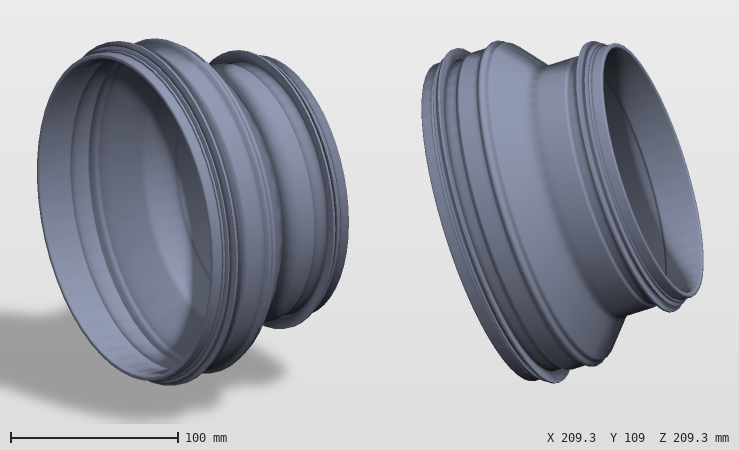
import cadquery as cq
import math


LENGTH = 109.0
SHEET = 0.5
HALF_SHEET = SHEET / 2
HEM_RISE = 2.4
HEM_BEND = 0.75
HEM_LENGTH = 6.2

WIDE_SEAT_RADIUS = 194.15 / 2
WIDE_BODY_RADIUS = 198.95 / 2
NARROW_SEAT_RADIUS = 154.2 / 2
NARROW_BODY_RADIUS = 157.2 / 2

WIDE_STEP_START = 21.8
NARROW_STEP_END = 86.0
STEP_BEND = 1.1

BEAD_CENTER = 39.15
BEAD_HALF_WIDTH = 2.85
BEAD_HEIGHT = 3.1
BEAD_BEND = 1.5

CONE_START = 44.2
CONE_END = 63.4
CONE_START_BEND = 2.0
CONE_END_BEND = 5.0

GASKET_CLEARANCE = 0.6
GASKET_BASE_HEIGHT = HEM_RISE - SHEET
GASKET_START = 1.9
RIDGE_HEIGHT = 3.1
RIDGE_START = 7.0
RIDGE_END = 8.2
SMALL_LIP_HEIGHT = 5.1
SMALL_LIP_ROOT = 8.7
SMALL_LIP_TIP_START = 9.4
SMALL_LIP_END = 10.1
LARGE_LIP_HEIGHT = 7.6
LARGE_LIP_ROOT = 12.4
LARGE_LIP_TIP_START = 13.3
LARGE_LIP_END = 14.5

SAME_POINT = 1e-6


def revolve_about_y(profile):
    """Turn a closed profile, drawn as (radius, Y), into a ring around the Y axis."""
    return profile.close().revolve(360, (0, 0, 0), (0, 1, 0))


def direction(start, end):
    length = math.hypot(end[0] - start[0], end[1] - start[1])
    return ((end[0] - start[0]) / length, (end[1] - start[1]) / length)


def sheet_side(corners, offset):
    """One face of the sheet as (bend start, bend middle, bend end) triples.

    Corners are (radius, Y, bend radius) at mid-sheet. The face lies `offset` to the left of
    that path. An end of the path gives a single point.
    """
    first = direction(corners[0], corners[1])
    last = direction(corners[-2], corners[-1])
    side = [[(corners[0][0] - offset * first[1], corners[0][1] + offset * first[0])]]
    for before, corner, after in zip(corners, corners[1:], corners[2:]):
        into = direction(before, corner)
        out = direction(corner, after)
        turn = math.atan2(into[0] * out[1] - into[1] * out[0], into[0] * out[0] + into[1] * out[1])
        left = math.copysign(1, turn)
        bend = corner[2]
        face_bend = bend - left * offset
        setback = bend * math.tan(abs(turn) / 2)
        center_x = corner[0] - setback * into[0] - left * bend * into[1]
        center_y = corner[1] - setback * into[1] + left * bend * into[0]
        start_angle = math.atan2(-left * into[0], left * into[1])
        angles = (start_angle, start_angle + turn / 2, start_angle + turn)
        side.append(
            [(center_x + face_bend * math.cos(a), center_y + face_bend * math.sin(a)) for a in angles]
        )
    side.append([(corners[-1][0] - offset * last[1], corners[-1][1] + offset * last[0])])
    return side


def draw_side(profile, side):
    """Append a face of the sheet to the profile: straight stretches joined by bend arcs."""
    here = None
    for points in side:
        if here is None or math.dist(here, points[0]) > SAME_POINT:
            profile = profile.lineTo(*points[0])
        if len(points) > 1:
            profile = profile.threePointArc(points[1], points[2])
        here = points[-1]
    return profile


def make_reducer():
    wide_seat = WIDE_SEAT_RADIUS - HALF_SHEET
    wide_body = WIDE_BODY_RADIUS - HALF_SHEET
    narrow_seat = NARROW_SEAT_RADIUS - HALF_SHEET
    narrow_body = NARROW_BODY_RADIUS - HALF_SHEET
    wide_end = HALF_SHEET
    narrow_end = LENGTH - HALF_SHEET
    wide_step = wide_body - wide_seat
    narrow_step = narrow_body - narrow_seat

    corners = [
        (wide_seat + HEM_RISE, HEM_LENGTH, 0),
        (wide_seat + HEM_RISE, wide_end, HEM_BEND),
        (wide_seat, wide_end, HEM_BEND),
        (wide_seat, WIDE_STEP_START, STEP_BEND),
        (wide_body, WIDE_STEP_START + wide_step, STEP_BEND),
        (wide_body, BEAD_CENTER - BEAD_HALF_WIDTH, BEAD_BEND),
        (wide_body + BEAD_HEIGHT, BEAD_CENTER, BEAD_BEND),
        (wide_body, BEAD_CENTER + BEAD_HALF_WIDTH, BEAD_BEND),
        (wide_body, CONE_START, CONE_START_BEND),
        (narrow_body, CONE_END, CONE_END_BEND),
        (narrow_body, NARROW_STEP_END - narrow_step, STEP_BEND),
        (narrow_seat, NARROW_STEP_END, STEP_BEND),
        (narrow_seat, narrow_end, HEM_BEND),
        (narrow_seat + HEM_RISE, narrow_end, HEM_BEND),
        (narrow_seat + HEM_RISE, LENGTH - HEM_LENGTH, 0),
    ]
    outer = sheet_side(corners, -HALF_SHEET)
    inner = sheet_side(corners, HALF_SHEET)
    back_along_inner = [points[::-1] for points in inner[::-1]]
    profile = cq.Workplane("XY").moveTo(*outer[0][0])
    profile = draw_side(profile, outer[1:])
    profile = draw_side(profile, back_along_inner)
    return revolve_about_y(profile)


def make_gasket(seat_radius, spigot_end, inward):
    """Gasket around a seat. `inward` is the sign of Y that leads from the spigot end to the cone."""
    section = [
        (GASKET_CLEARANCE, GASKET_START),
        (GASKET_BASE_HEIGHT, GASKET_START),
        (GASKET_BASE_HEIGHT, RIDGE_START),
        (RIDGE_HEIGHT, RIDGE_START),
        (RIDGE_HEIGHT, RIDGE_END),
        (GASKET_BASE_HEIGHT, RIDGE_END),
        (GASKET_BASE_HEIGHT, SMALL_LIP_ROOT),
        (SMALL_LIP_HEIGHT, SMALL_LIP_TIP_START),
        (SMALL_LIP_HEIGHT, SMALL_LIP_END),
        (GASKET_BASE_HEIGHT, SMALL_LIP_END),
        (GASKET_BASE_HEIGHT, LARGE_LIP_ROOT),
        (LARGE_LIP_HEIGHT, LARGE_LIP_TIP_START),
        (LARGE_LIP_HEIGHT, LARGE_LIP_END),
        (GASKET_CLEARANCE, LARGE_LIP_END),
    ]
    points = [(seat_radius + height, spigot_end + inward * along) for height, along in section]
    return revolve_about_y(cq.Workplane("XY").polyline(points))


reducer = make_reducer()
wide_gasket = make_gasket(WIDE_SEAT_RADIUS, 0, 1)
narrow_gasket = make_gasket(NARROW_SEAT_RADIUS, LENGTH, -1)

result = cq.Compound.makeCompound([reducer.val(), wide_gasket.val(), narrow_gasket.val()])